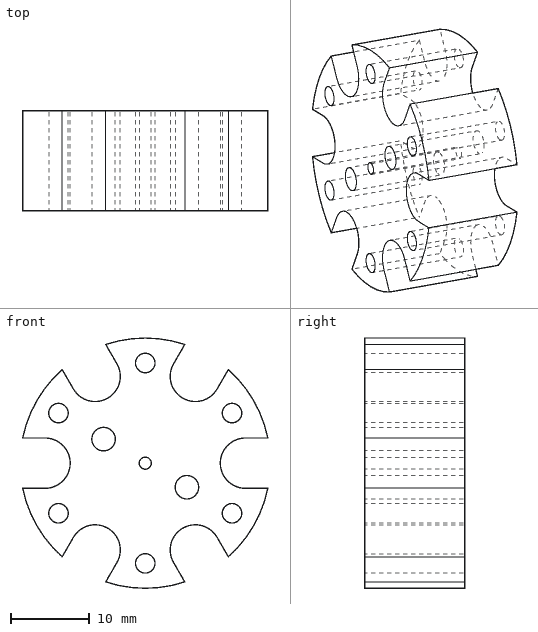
import cadquery as cq

disc_diameter = 31.75
thickness = 12.7
sector_count = 6
sector_angle = 360 / sector_count

slot_width = 6.35
slot_center_radius = 12.7

rim_hole_diameter = 2.44
rim_hole_circle_radius = 12.7
inner_hole_diameter = 2.95
inner_hole_circle_radius = 6.1
inner_hole_angles = (150, 330)
center_hole_diameter = 1.5


def cylinder_along_y(diameter, radial_distance=0, angle=0):
    """Full-thickness cylinder at a polar position, angle measured from +X toward +Z."""
    return (
        cq.Workplane("XZ")
        .center(radial_distance, 0)
        .circle(diameter / 2)
        .extrude(-thickness)
        .rotate((0, 0, 0), (0, -1, 0), angle)
    )


def rim_slot(angle):
    """Slot cutter: a round bottom continued by straight walls out past the rim."""
    slot_reach = disc_diameter / 2
    straight_part = (
        cq.Workplane("XZ")
        .center(slot_center_radius + slot_reach / 2, 0)
        .rect(slot_reach, slot_width)
        .extrude(-thickness)
        .rotate((0, 0, 0), (0, -1, 0), angle)
    )
    return straight_part.union(cylinder_along_y(slot_width, slot_center_radius, angle))


body = cylinder_along_y(disc_diameter)

for index in range(sector_count):
    slot_angle = index * sector_angle
    hole_angle = slot_angle + sector_angle / 2
    body = body.cut(rim_slot(slot_angle))
    body = body.cut(cylinder_along_y(rim_hole_diameter, rim_hole_circle_radius, hole_angle))

for inner_hole_angle in inner_hole_angles:
    body = body.cut(cylinder_along_y(inner_hole_diameter, inner_hole_circle_radius, inner_hole_angle))

result = body.cut(cylinder_along_y(center_hole_diameter))